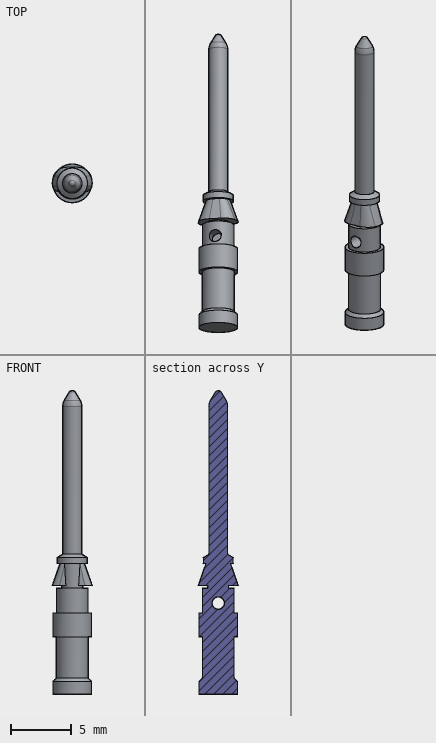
import cadquery as cq
import math

TOTAL_LENGTH = 25

RING_RADIUS = 1.6
BARREL_RADIUS = 1.32
UPPER_BARREL_RADIUS = 1.3
CORE_RADIUS = 0.88
COLLAR_RADIUS = 1.25
PIN_RADIUS = 0.8

FLANGE_TOP = 1.32
RING_BOTTOM = 4.72
RING_TOP = 6.7
BARREL_TOP = 8.72
COLLAR_BOTTOM = 10.75
COLLAR_TOP = 11.52
EDGE_DROP = 0.28

TIP_DOME_RADIUS = 0.25
TIP_DOME_HEIGHT = 0.12
TIP_SHOULDER_RADIUS = 0.68
TIP_SHOULDER_HEIGHT = 0.5
TIP_CONE_HEIGHT = 0.7

CLIP_BOTTOM = 8.95
CLIP_BOTTOM_RADIUS = 1.65
CLIP_BOTTOM_BACK = 1.32
CLIP_BOTTOM_FRONT = -0.7
CLIP_BOTTOM_BACK_CORNER = 1.12
CLIP_BOTTOM_FRONT_CORNER = 0.6
CLIP_TOP_RADIUS = 1.02
CLIP_TOP_BACK = 0.88
CLIP_TOP_FRONT = -0.6
CLIP_TOP_BACK_CORNER = 0.7
CLIP_TOP_FRONT_CORNER = 0.38

HOLE_RADIUS = 0.5
HOLE_HEIGHT = 7.5


def turned_body():
    """Solid of revolution from the flange face to the pin tip."""
    dome_base = TOTAL_LENGTH - TIP_DOME_HEIGHT
    shoulder_top = dome_base - TIP_CONE_HEIGHT
    shoulder_base = shoulder_top - TIP_SHOULDER_HEIGHT
    dome_sphere_radius = (TIP_DOME_RADIUS**2 + TIP_DOME_HEIGHT**2) / (2 * TIP_DOME_HEIGHT)
    dome_mid_angle = math.asin(TIP_DOME_RADIUS / dome_sphere_radius) / 2
    dome_mid = (
        dome_sphere_radius * math.sin(dome_mid_angle),
        TOTAL_LENGTH - dome_sphere_radius * (1 - math.cos(dome_mid_angle)),
    )
    profile = (
        cq.Workplane("XZ")
        .lineTo(RING_RADIUS, 0)
        .lineTo(RING_RADIUS, FLANGE_TOP - EDGE_DROP)
        .lineTo(BARREL_RADIUS, FLANGE_TOP)
        .lineTo(BARREL_RADIUS, RING_BOTTOM)
        .lineTo(RING_RADIUS, RING_BOTTOM)
        .lineTo(RING_RADIUS, RING_TOP)
        .lineTo(UPPER_BARREL_RADIUS, RING_TOP)
        .lineTo(UPPER_BARREL_RADIUS, BARREL_TOP)
        .lineTo(CORE_RADIUS, BARREL_TOP)
        .lineTo(CORE_RADIUS, COLLAR_BOTTOM)
        .lineTo(COLLAR_RADIUS, COLLAR_BOTTOM)
        .lineTo(COLLAR_RADIUS, COLLAR_TOP - EDGE_DROP)
        .lineTo(PIN_RADIUS, COLLAR_TOP)
        .lineTo(PIN_RADIUS, shoulder_base)
        .tangentArcPoint((TIP_SHOULDER_RADIUS, shoulder_top), relative=False)
        .lineTo(TIP_DOME_RADIUS, dome_base)
        .threePointArc(dome_mid, (0, TOTAL_LENGTH))
        .close()
    )
    return profile.revolve(360, (0, 0, 0), (0, 1, 0))


def corner_points(radius, flat_y, corner_radius):
    """Points of a rounded corner on the +X side: on the flat, mid-arc and on the circle."""
    side = math.copysign(1, flat_y)
    centre_y = flat_y - side * corner_radius
    centre_x = math.sqrt((radius - corner_radius) ** 2 - centre_y**2)
    angle_on_flat = side * math.pi / 2
    angle_on_circle = math.atan2(centre_y, centre_x)
    angles = (angle_on_flat, (angle_on_flat + angle_on_circle) / 2, angle_on_circle)
    return [
        (centre_x + corner_radius * math.cos(a), centre_y + corner_radius * math.sin(a))
        for a in angles
    ]


def clip_section(height, radius, back, front, back_corner, front_corner):
    """Circle cut by two flats parallel to X, with all four corners rounded."""
    back_flat, back_mid, back_round = corner_points(radius, back, back_corner)
    front_flat, front_mid, front_round = corner_points(radius, front, front_corner)

    def mirrored(point):
        return (-point[0], point[1])

    section = (
        cq.Sketch()
        .segment(mirrored(back_flat), back_flat)
        .arc(back_flat, back_mid, back_round)
        .arc(back_round, (radius, 0), front_round)
        .arc(front_round, front_mid, front_flat)
        .segment(front_flat, mirrored(front_flat))
        .arc(mirrored(front_flat), mirrored(front_mid), mirrored(front_round))
        .arc(mirrored(front_round), (-radius, 0), mirrored(back_round))
        .arc(mirrored(back_round), mirrored(back_mid), mirrored(back_flat))
        .assemble()
    )
    return section.moved(cq.Location(cq.Vector(0, 0, height)))


def retaining_clip():
    """Straight-sided transition between the bottom and top sections of the clip."""
    bottom = clip_section(
        CLIP_BOTTOM, CLIP_BOTTOM_RADIUS, CLIP_BOTTOM_BACK, CLIP_BOTTOM_FRONT,
        CLIP_BOTTOM_BACK_CORNER, CLIP_BOTTOM_FRONT_CORNER,
    )
    top = clip_section(
        COLLAR_BOTTOM, CLIP_TOP_RADIUS, CLIP_TOP_BACK, CLIP_TOP_FRONT,
        CLIP_TOP_BACK_CORNER, CLIP_TOP_FRONT_CORNER,
    )
    return cq.Workplane("XY").placeSketch(bottom, top).loft(ruled=True)


def inspection_hole():
    """Radial cutter from the axis out through the +Y side of the barrel."""
    return (
        cq.Workplane("XZ")
        .center(0, HOLE_HEIGHT)
        .circle(HOLE_RADIUS)
        .extrude(-RING_RADIUS)
    )


result = turned_body().union(retaining_clip()).cut(inspection_hole())